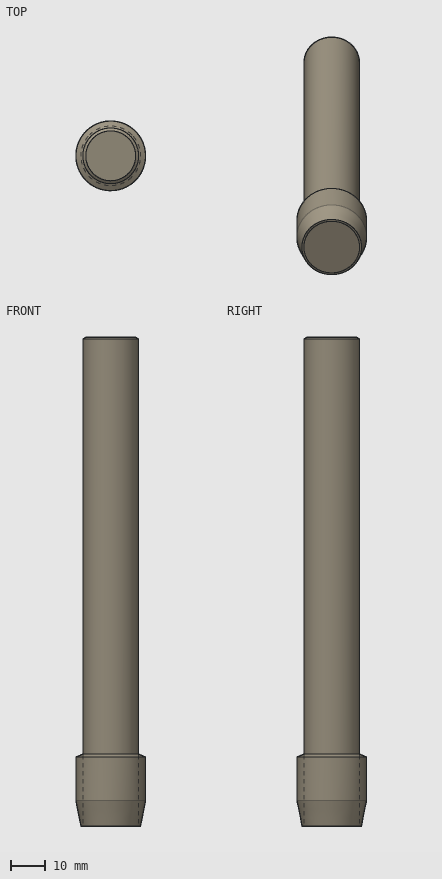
import cadquery as cq

total_length = 140.0
rod_diameter = 16.0
rod_chamfer_height = 0.5
rod_chamfer_width = 0.8

collar_diameter = 20.0
collar_height = 20.7
collar_top_slope_height = 0.8
taper_height = 7.4
taper_end_diameter = 17.1


def make_rod():
    """Plain round rod with a chamfered top edge."""
    rod = cq.Workplane("XY").circle(rod_diameter / 2).extrude(total_length)
    return rod.faces(">Z").edges().chamfer(rod_chamfer_height, rod_chamfer_width)


def make_collar():
    """Revolved sleeve, tapered at the bottom and sloped at the top, bored to fit the rod."""
    bore_radius = rod_diameter / 2
    outer_radius = collar_diameter / 2
    return (
        cq.Workplane("XZ")
        .moveTo(bore_radius, 0)
        .lineTo(taper_end_diameter / 2, 0)
        .lineTo(outer_radius, taper_height)
        .lineTo(outer_radius, collar_height - collar_top_slope_height)
        .lineTo(bore_radius, collar_height)
        .close()
        .revolve(360, (0, 0, 0), (0, 1, 0))
    )


rod = make_rod()
collar = make_collar()

result = cq.Compound.makeCompound([rod.val(), collar.val()])